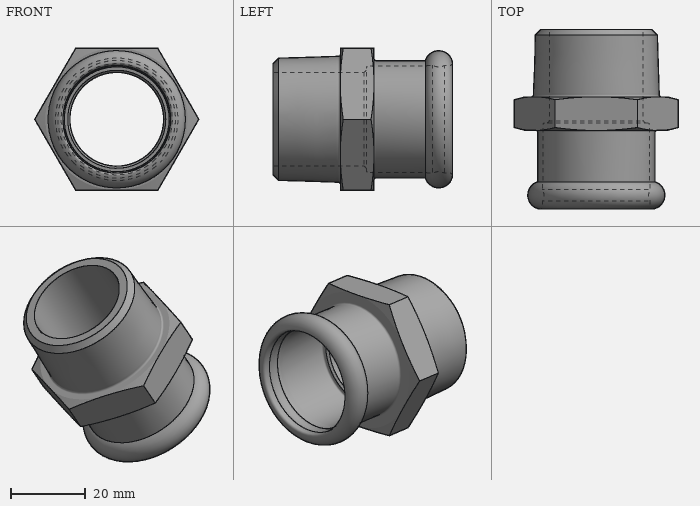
import cadquery as cq
import math


total_length = 48.0

neck_radius = 31.4 / 2
root_fillet = 0.5

bead_length = 7.3
bead_radius = 18.35
lip_outer_radius = 15.1
lip_radius = 28.8 / 2
lip_fillet = lip_outer_radius - lip_radius

seal_start = 2.1
seal_end = 5.3
seal_radius = 14.0

cone_start = 6.4
cone_length = 1.0
seat_radius = 28.4 / 2
seat_end = 23.0
seat_fillet = 0.4

bore_radius = 25.0 / 2
bore_chamfer = 0.6

hex_across_flats = 38.0
hex_start = 21.0
hex_end = 30.0
hex_chamfer_angle = 15.0

collar_radius = 33.7 / 2
collar_end = 31.0
taper_per_length = 1 / 32
end_chamfer = 1.5

quarter_mid = 1 - math.sqrt(0.5)


def revolve_about_axis(profile):
    return profile.close().revolve(360, (0, 0, 0), (0, 1, 0))


def outer_body():
    """Neck, bead, collar and tapered end as one solid of revolution."""
    chamfer_start = total_length - end_chamfer
    thread_length = chamfer_start - collar_end
    thread_end_radius = collar_radius - thread_length * taper_per_length
    root_mid = root_fillet * quarter_mid
    profile = (
        cq.Workplane("XY")
        .moveTo(0, 0)
        .lineTo(lip_outer_radius, 0)
        .threePointArc((bead_radius, bead_length / 2), (neck_radius, bead_length))
        .lineTo(neck_radius, hex_start - root_fillet)
        .threePointArc(
            (neck_radius + root_mid, hex_start - root_mid),
            (neck_radius + root_fillet, hex_start),
        )
        .lineTo(collar_radius + root_fillet, hex_end)
        .threePointArc(
            (collar_radius + root_mid, hex_end + root_mid),
            (collar_radius, hex_end + root_fillet),
        )
        .lineTo(collar_radius, collar_end)
        .lineTo(thread_end_radius, chamfer_start)
        .lineTo(thread_end_radius - end_chamfer, total_length)
        .lineTo(0, total_length)
    )
    return revolve_about_axis(profile)


def hexagon():
    """Hexagon with corners on the X axis, both ends turned to a shallow cone."""
    corner_radius = hex_across_flats / math.sqrt(3)
    flat_radius = hex_across_flats / 2
    corner_drop = (corner_radius - flat_radius) * math.tan(math.radians(hex_chamfer_angle))
    prism = (
        cq.Workplane("XZ", origin=(0, hex_start, 0))
        .polygon(6, 2 * corner_radius)
        .extrude(hex_start - hex_end)
    )
    turned_envelope = revolve_about_axis(
        cq.Workplane("XY")
        .moveTo(0, hex_start)
        .lineTo(flat_radius, hex_start)
        .lineTo(corner_radius, hex_start + corner_drop)
        .lineTo(corner_radius, hex_end - corner_drop)
        .lineTo(flat_radius, hex_end)
        .lineTo(0, hex_end)
    )
    return prism.intersect(turned_envelope)


def inner_cavity():
    """Rounded mouth, seal bulge, socket seat and through bore as one solid of revolution."""
    lip_mid = lip_fillet * quarter_mid
    seat_mid = seat_fillet * quarter_mid
    profile = (
        cq.Workplane("XY")
        .moveTo(0, 0)
        .lineTo(lip_outer_radius, 0)
        .threePointArc((lip_radius + lip_mid, lip_mid), (lip_radius, lip_fillet))
        .lineTo(lip_radius, seal_start)
        .threePointArc((seal_radius, (seal_start + seal_end) / 2), (lip_radius, seal_end))
        .lineTo(lip_radius, cone_start)
        .lineTo(seat_radius, cone_start + cone_length)
        .lineTo(seat_radius, seat_end - seat_fillet)
        .threePointArc(
            (seat_radius - seat_mid, seat_end - seat_mid),
            (seat_radius - seat_fillet, seat_end),
        )
        .lineTo(bore_radius + bore_chamfer, seat_end)
        .lineTo(bore_radius, seat_end + bore_chamfer)
        .lineTo(bore_radius, total_length)
        .lineTo(0, total_length)
    )
    return revolve_about_axis(profile)


result = outer_body().union(hexagon()).cut(inner_cavity())